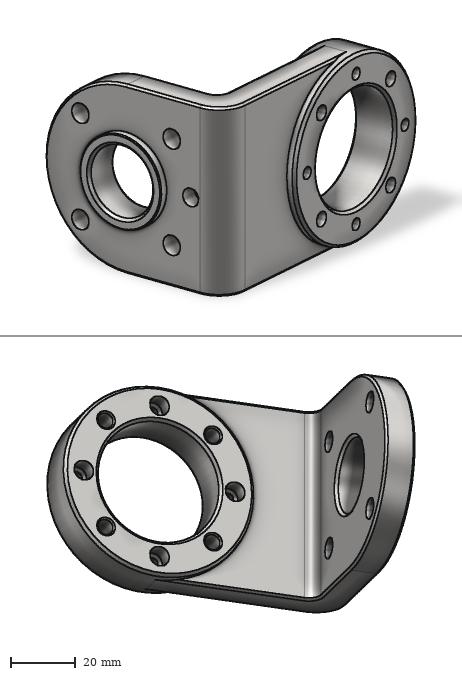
import cadquery as cq
import math


outer_diameter = 63.0
outer_radius = outer_diameter / 2
plate_thickness = 9.9
bolt_circle_radius = 25.1
edge_chamfer = 0.8
bore_chamfer = 1.0

leg_outer_x = 38.5
leg_inner_x = leg_outer_x - plate_thickness
outer_bend_radius = plate_thickness
inner_bend_radius = 4.0

flange_bore_diameter = 24.0
flange_hole_diameter = 6.6
dowel_diameter = 6.0
dowel_depth = 6.0
boss_diameter = 31.5
boss_height = 3.0
boss_chamfer = 0.4

overall_length = 97.5
ring_overhang = 3.0
ring_width = plate_thickness + 2 * ring_overhang
ring_start_x = leg_inner_x - ring_overhang
ring_center_y = overall_length - boss_height - outer_radius
ring_chamfer = 1.0
ring_bore_diameter = 40.0
stepped_hole_diameter = 6.3
stepped_hole_depth = 6.0
stepped_pilot_diameter = 4.0
bolt_hole_diameter = 5.0
bolt_hole_mouth_diameter = 6.0

drill_point_angle = 118

X_AXIS = cq.Vector(1, 0, 0)
Y_AXIS = cq.Vector(0, 1, 0)


def cylinder(diameter, length, start, direction):
    """Solid cylinder growing from start along direction."""
    return cq.Workplane(cq.Solid.makeCylinder(diameter / 2, length, start, direction))


def cone(start_diameter, end_diameter, length, start, direction):
    """Solid cone frustum growing from start along direction."""
    return cq.Workplane(cq.Solid.makeCone(start_diameter / 2, end_diameter / 2, length, start, direction))


def drilled_hole(diameter, depth, start, direction):
    """Blind hole cutter with a conical drill point beyond its full-diameter depth."""
    point_length = diameter / 2 / math.tan(math.radians(drill_point_angle / 2))
    point = cone(diameter, 0, point_length, start + direction * depth, direction)
    return cylinder(diameter, depth, start, direction).union(point)


def chamfered_bore(diameter, length, chamfer, start, direction):
    """Through-bore cutter with a 45 degree chamfer at its start."""
    mouth = cone(diameter + 2 * chamfer, diameter, chamfer, start, direction)
    return cylinder(diameter, length, start, direction).union(mouth)


def circle_offsets(first_angle):
    """Four equally spaced (horizontal, vertical) offsets on the bolt circle."""
    for step in range(4):
        angle = math.radians(first_angle + 90 * step)
        yield bolt_circle_radius * math.cos(angle), bolt_circle_radius * math.sin(angle)


def bent_plate():
    """Flange plate and leg bent from one bar, with a semicircular flange end and chamfered rims."""
    bar = (
        cq.Workplane("XY")
        .moveTo(-outer_radius, 0)
        .lineTo(leg_outer_x, 0)
        .lineTo(leg_outer_x, ring_center_y)
        .lineTo(leg_inner_x, ring_center_y)
        .lineTo(leg_inner_x, plate_thickness)
        .lineTo(-outer_radius, plate_thickness)
        .close()
        .extrude(outer_radius, both=True)
    )
    for corner, radius in (
        ((leg_outer_x, 0, 0), outer_bend_radius),
        ((leg_inner_x, plate_thickness, 0), inner_bend_radius),
    ):
        bar = bar.edges(cq.selectors.NearestToPointSelector(corner)).fillet(radius)

    round_end_outline = (
        cq.Workplane("XZ")
        .moveTo(0, outer_radius)
        .lineTo(leg_outer_x, outer_radius)
        .lineTo(leg_outer_x, -outer_radius)
        .lineTo(0, -outer_radius)
        .threePointArc((-outer_radius, 0), (0, outer_radius))
        .close()
        .extrude(-ring_center_y)
    )
    bar = bar.intersect(round_end_outline)

    return bar.edges("<X").chamfer(edge_chamfer)


def boss():
    """Chamfered round boss on the flange front face."""
    front = cq.Vector(0, -boss_height, 0)
    return cylinder(boss_diameter, boss_height, front, Y_AXIS).faces("<Y").chamfer(boss_chamfer)


def ring():
    """Solid disc for the ring, chamfered on both rims."""
    start = cq.Vector(ring_start_x, ring_center_y, 0)
    disc = cylinder(outer_diameter, ring_width, start, X_AXIS)
    return disc.edges("%CIRCLE").chamfer(ring_chamfer)


def cut_flange_holes(body):
    """Central bore, four through-holes and a blind dowel hole beside the bend."""
    boss_front = cq.Vector(0, -boss_height, 0)
    flange_back = cq.Vector(0, plate_thickness, 0)
    bore_length = boss_height + plate_thickness
    for start, direction in ((boss_front, Y_AXIS), (flange_back, Y_AXIS * -1)):
        body = body.cut(chamfered_bore(flange_bore_diameter, bore_length, bore_chamfer, start, direction))
    for x, z in circle_offsets(45):
        body = body.cut(cylinder(flange_hole_diameter, plate_thickness, cq.Vector(x, 0, z), Y_AXIS))
    dowel_start = cq.Vector(bolt_circle_radius, 0, 0)
    return body.cut(drilled_hole(dowel_diameter, dowel_depth, dowel_start, Y_AXIS))


def cut_ring_holes(body):
    """Ring bore with two alternating sets of four holes around it."""
    center = cq.Vector(ring_start_x, ring_center_y, 0)
    far_center = center + X_AXIS * ring_width
    for start, direction in ((center, X_AXIS), (far_center, X_AXIS * -1)):
        body = body.cut(chamfered_bore(ring_bore_diameter, ring_width, bore_chamfer, start, direction))

    bolt_chamfer = (bolt_hole_mouth_diameter - bolt_hole_diameter) / 2
    for y, z in circle_offsets(45):
        start = center + cq.Vector(0, y, z)
        body = body.cut(chamfered_bore(bolt_hole_diameter, ring_width, bolt_chamfer, start, X_AXIS))

    for y, z in circle_offsets(0):
        start = center + cq.Vector(0, y, z)
        body = body.cut(drilled_hole(stepped_hole_diameter, stepped_hole_depth, start, X_AXIS))
        body = body.cut(cylinder(stepped_pilot_diameter, ring_width, start, X_AXIS))
    return body


result = bent_plate().union(ring()).union(boss())
result = cut_flange_holes(result)
result = cut_ring_holes(result)